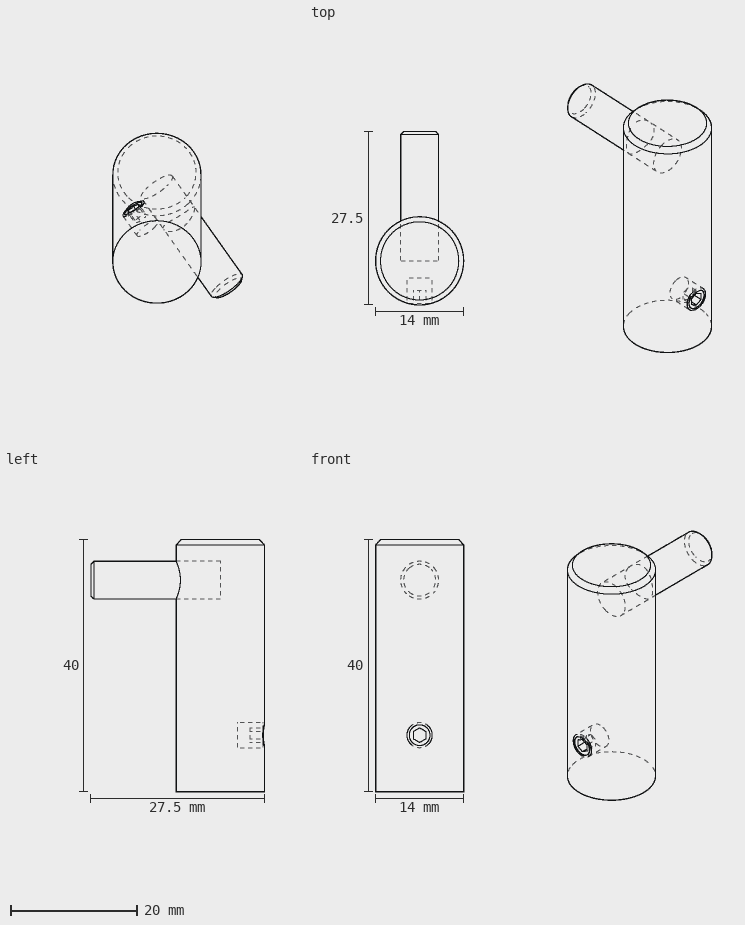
import cadquery as cq

post_height = 40.0
post_diameter = 14.0
post_radius = post_diameter / 2
post_chamfer_height = 0.9
post_chamfer_width = 0.8

pin_diameter = 6.0
pin_end_y = 20.5
pin_height = 33.55
pin_chamfer = 0.5

screw_diameter = 4.0
screw_length = 4.0
screw_height = 9.0
screw_sink = 0.3
screw_face_y = -post_radius + screw_sink
socket_across_flats = 2.0
socket_depth = 2.0
screw_opening_diameter = 3.3


def rod_along_y(diameter, start_y, end_y, height):
    """Plain cylinder parallel to Y, centred on X = 0 at the given height."""
    return (
        cq.Workplane("XZ", origin=(0, start_y, height))
        .circle(diameter / 2)
        .extrude(start_y - end_y)
    )


def make_pin():
    pin = rod_along_y(pin_diameter, 0, pin_end_y, pin_height)
    return pin.faces(">Y").chamfer(pin_chamfer)


def screw_blank():
    """Set screw without its socket, also the shape of its seat in the post."""
    return rod_along_y(screw_diameter, screw_face_y, screw_face_y + screw_length, screw_height)


def make_screw():
    socket = (
        cq.Workplane("XZ", origin=(0, screw_face_y, screw_height))
        .polygon(6, socket_across_flats, circumscribed=True)
        .extrude(-socket_depth)
    )
    return screw_blank().cut(socket)


def make_post():
    profile = (
        cq.Workplane("XZ")
        .lineTo(post_radius, 0)
        .lineTo(post_radius, post_height - post_chamfer_height)
        .lineTo(post_radius - post_chamfer_width, post_height)
        .lineTo(0, post_height)
        .close()
    )
    post = profile.revolve(360, (0, 0), (0, 1))
    pin_seat = rod_along_y(pin_diameter, 0, post_diameter, pin_height)
    screw_opening = rod_along_y(screw_opening_diameter, -post_diameter, screw_face_y, screw_height)
    return post.cut(pin_seat).cut(screw_blank()).cut(screw_opening)


post = make_post()
pin = make_pin()
screw = make_screw()

result = cq.Compound.makeCompound([post.val(), pin.val(), screw.val()])